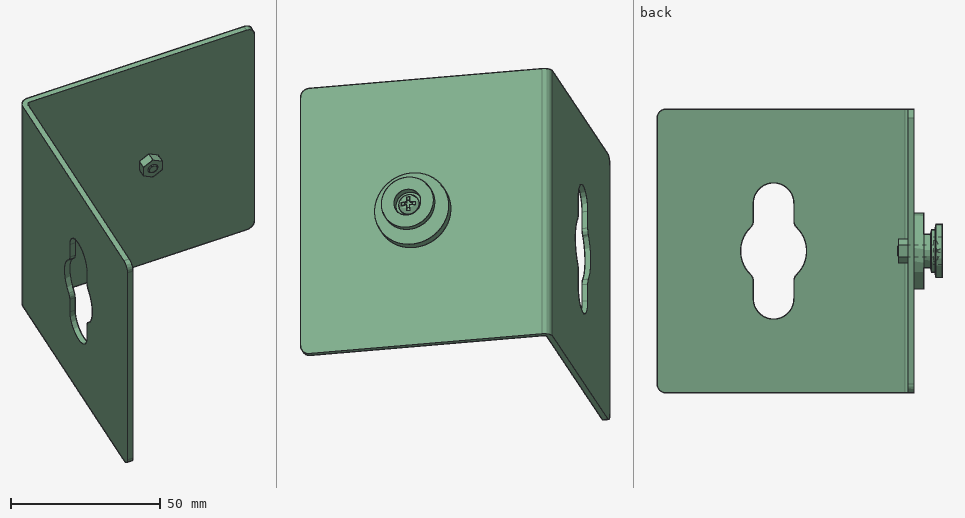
import cadquery as cq
import math

leg_length = 86.0
bracket_height = 95.0
sheet_thickness = 2.0
bend_outer_radius = 3.0
bend_inner_radius = bend_outer_radius - sheet_thickness
corner_radius = 3.0

slot_center_x = 47.0
slot_width = 13.5
slot_length = 45.5
keyhole_diameter = 22.0
keyhole_blend_radius = 3.0

mount_y = 47.0
mount_z = bracket_height / 2
knob_length = 9.5
disc_radius = 12.75
disc_thickness = 3.3
neck_radius = 5.65
step_radius = 7.15
head_radius = 8.95
head_thickness = 2.2
cone_length = 0.36
step_length = 1.1
recess_radius = 4.6
recess_depth = 3.0

shank_diameter = 4.0
screw_head_radius = 3.5
screw_rim_height = 0.8
screw_dome_height = 1.4
nut_across_flats = 7.0
nut_thickness = 3.2
nut_turn = 30.0
tip_length = 0.35
tip_chamfer = 0.55
cross_length = 4.9
cross_width = 1.1
cross_depth = 0.8
cross_core_length = 2.6
cross_core_depth = 1.2

head_seat = knob_length - recess_depth
screw_head_top = head_seat + screw_rim_height + screw_dome_height


def on_mount_axis(body):
    """Turn a body built along +Z so that it points to -X at the knob position."""
    return body.rotate((0, 0, 0), (0, 1, 0), -90).translate((0, mount_y, mount_z))


def make_slot_cutter():
    """Slot with round ends, widened by a middle circle that is blended into its sides."""
    half_width = slot_width / 2
    keyhole_radius = keyhole_diameter / 2
    straight_end = slot_length / 2 - half_width
    blend_x = half_width + keyhole_blend_radius
    center_distance = keyhole_radius + keyhole_blend_radius
    blend_z = math.sqrt(center_distance**2 - blend_x**2)
    tangent_x = blend_x * keyhole_radius / center_distance
    tangent_z = blend_z * keyhole_radius / center_distance

    blend_angle = math.atan2(blend_z, blend_x) / 2
    blend_mid_x = blend_x - keyhole_blend_radius * math.cos(blend_angle)
    blend_mid_z = blend_z - keyhole_blend_radius * math.sin(blend_angle)

    return (
        cq.Workplane("XZ", origin=(slot_center_x, 0, mount_z))
        .moveTo(half_width, straight_end)
        .threePointArc((0, slot_length / 2), (-half_width, straight_end))
        .lineTo(-half_width, blend_z)
        .threePointArc((-blend_mid_x, blend_mid_z), (-tangent_x, tangent_z))
        .threePointArc((-keyhole_radius, 0), (-tangent_x, -tangent_z))
        .threePointArc((-blend_mid_x, -blend_mid_z), (-half_width, -blend_z))
        .lineTo(-half_width, -straight_end)
        .threePointArc((0, -slot_length / 2), (half_width, -straight_end))
        .lineTo(half_width, -blend_z)
        .threePointArc((blend_mid_x, -blend_mid_z), (tangent_x, -tangent_z))
        .threePointArc((keyhole_radius, 0), (tangent_x, tangent_z))
        .threePointArc((blend_mid_x, blend_mid_z), (half_width, blend_z))
        .close()
        .extrude(-sheet_thickness)
    )


def make_bracket():
    body = (
        cq.Workplane("XY")
        .polyline([
            (0, 0),
            (leg_length, 0),
            (leg_length, sheet_thickness),
            (sheet_thickness, sheet_thickness),
            (sheet_thickness, leg_length),
            (0, leg_length),
        ])
        .close()
        .extrude(bracket_height)
    )
    inner_bend = cq.selectors.NearestToPointSelector((sheet_thickness, sheet_thickness, mount_z))
    outer_bend = cq.selectors.NearestToPointSelector((0, 0, mount_z))
    body = body.edges(inner_bend).fillet(bend_inner_radius)
    body = body.edges(outer_bend).fillet(bend_outer_radius)
    body = body.faces(">X").edges("|Y").fillet(corner_radius)
    body = body.faces(">Y").edges("|X").fillet(corner_radius)

    screw_hole = cq.Workplane("XY").circle(shank_diameter / 2).extrude(-sheet_thickness)
    return body.cut(make_slot_cutter()).cut(on_mount_axis(screw_hole))


def make_knob():
    """Turned knob: wide base disc, neck, stepped head and a recess for the screw head."""
    bore_radius = shank_diameter / 2
    head_back = knob_length - head_thickness
    step_front = head_back - cone_length
    step_back = step_front - step_length
    neck_front = step_back - cone_length
    profile = (
        cq.Workplane("XZ")
        .polyline([
            (bore_radius, 0),
            (disc_radius, 0),
            (disc_radius, disc_thickness),
            (neck_radius, disc_thickness),
            (neck_radius, neck_front),
            (step_radius, step_back),
            (step_radius, step_front),
            (head_radius, head_back),
            (head_radius, knob_length),
            (recess_radius, knob_length),
            (recess_radius, head_seat),
            (bore_radius, head_seat),
        ])
        .close()
    )
    return on_mount_axis(profile.revolve(360, (0, 0, 0), (0, 1, 0)))


def make_cross(length, depth):
    """Cross-shaped cutter sunk to the given depth below the top of the screw head."""
    arm = cq.Workplane("XY").box(length, cross_width, depth, centered=(True, True, False))
    cross = arm.union(arm.rotate((0, 0, 0), (0, 0, 1), 90))
    return cross.translate((0, 0, screw_head_top - depth))


def make_screw():
    """Domed cross-head screw carrying a hexagon nut against the inner face of the bracket."""
    shank_radius = shank_diameter / 2
    rim_top = head_seat + screw_rim_height
    nut_end = -sheet_thickness - nut_thickness
    tip_end = nut_end - tip_length

    dome_radius = (screw_head_radius**2 + screw_dome_height**2) / (2 * screw_dome_height)
    dome_mid_radius = screw_head_radius / 2
    dome_mid_height = screw_head_top - dome_radius + math.sqrt(dome_radius**2 - dome_mid_radius**2)

    screw = (
        cq.Workplane("XZ")
        .moveTo(0, tip_end)
        .lineTo(shank_radius - tip_chamfer, tip_end)
        .lineTo(shank_radius, tip_end + tip_chamfer)
        .lineTo(shank_radius, head_seat)
        .lineTo(screw_head_radius, head_seat)
        .lineTo(screw_head_radius, rim_top)
        .threePointArc((dome_mid_radius, dome_mid_height), (0, screw_head_top))
        .close()
        .revolve(360, (0, 0, 0), (0, 1, 0))
    )
    nut = (
        cq.Workplane("XY", origin=(0, 0, nut_end))
        .polygon(6, nut_across_flats, circumscribed=True)
        .extrude(nut_thickness)
        .rotate((0, 0, 0), (0, 0, 1), nut_turn)
    )
    screw = screw.union(nut)
    screw = screw.cut(make_cross(cross_length, cross_depth))
    screw = screw.cut(make_cross(cross_core_length, cross_core_depth))
    return on_mount_axis(screw)


bracket = make_bracket()
knob = make_knob()
screw = make_screw()

result = cq.Compound.makeCompound([bracket.val(), knob.val(), screw.val()])